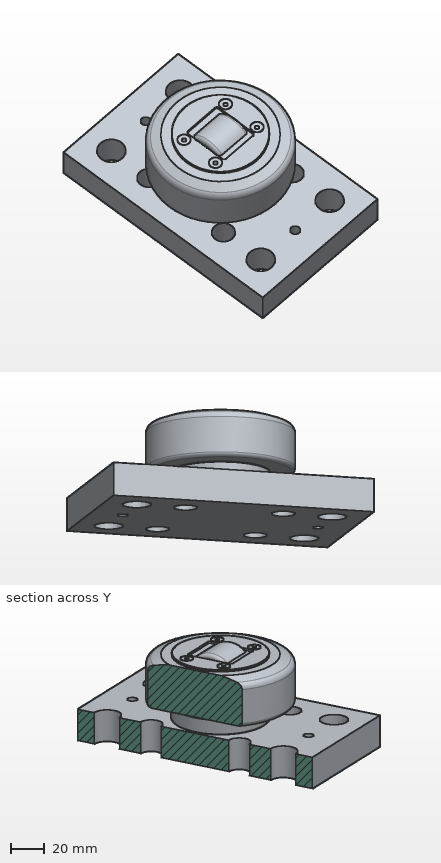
import cadquery as cq

plate_length = 160
plate_width = 100.0
plate_height = 20.0
bolt_spacing_x = 120
inner_spacing_x = 60.0
hole_spacing_y = 60.0
bolt_hole_diameter = 17.0
inner_hole_diameter = 13.8
dowel_hole_diameter = 6.0

neck_diameter = 59.0
neck_chamfer = 0.56
cap_diameter = 58.0
cap_chamfer = 0.3
journal_top = 61.0

roller_radius = 44.2
roller_bottom = 30.0
roller_top = 59.8
roller_flat_radius = 35.2
cone_outer_radius = 41.5
cone_bottom = 57.6
wall_top = 53.8
shoulder_mid_radius = 43.2
shoulder_mid_height = 56.2
bottom_fillet = 2.4

window_length = 30.5
window_width = 26.5
window_depth = 1.3
window_corner_radius = 1.3
side_roller_radius = 16
side_roller_width = 25.8
side_roller_fillet = 2.4
overall_height = 64

screw_spacing_x = 25.3
screw_spacing_y = 36.2
screw_head_diameter = 7.8
screw_recess_depth = 0.3
socket_diameter = 2.5
socket_depth = 0.6


def make_plate():
    plate = cq.Workplane("XY").box(plate_length, plate_width, plate_height, centered=(True, True, False))
    top = plate.faces(">Z").workplane()
    plate = top.rarray(bolt_spacing_x, hole_spacing_y, 2, 2).hole(bolt_hole_diameter)
    top = plate.faces(">Z").workplane()
    plate = top.rarray(inner_spacing_x, hole_spacing_y, 2, 2).hole(inner_hole_diameter)
    top = plate.faces(">Z").workplane()
    return top.rarray(bolt_spacing_x, 1.6, 2, 1).hole(dowel_hole_diameter)


def make_main_roller():
    profile = (
        cq.Workplane("XZ")
        .moveTo(0, roller_bottom)
        .lineTo(roller_radius, roller_bottom)
        .lineTo(roller_radius, wall_top)
        .threePointArc((shoulder_mid_radius, shoulder_mid_height), (cone_outer_radius, cone_bottom))
        .lineTo(roller_flat_radius, roller_top)
        .lineTo(0, roller_top)
        .close()
    )
    roller = profile.revolve(360, (0, 0, 0), (0, 1, 0))
    return roller.faces("<Z").edges().fillet(bottom_fillet)


def make_neck():
    neck = (
        cq.Workplane("XY", origin=(0, 0, plate_height))
        .circle(neck_diameter / 2)
        .extrude(roller_bottom - plate_height)
    )
    return neck.faces("<Z or >Z").edges().chamfer(neck_chamfer)


def make_cap():
    cap = (
        cq.Workplane("XY", origin=(0, 0, roller_bottom))
        .circle(cap_diameter / 2)
        .extrude(journal_top - roller_bottom)
    )
    return cap.faces(">Z").edges().chamfer(cap_chamfer)


def make_window():
    return (
        cq.Workplane("XY", origin=(0, 0, journal_top - window_depth))
        .rect(window_length, window_width)
        .extrude(window_depth)
        .edges("|Z")
        .fillet(window_corner_radius)
    )


def make_side_roller():
    axis_height = overall_height - side_roller_radius
    roller = (
        cq.Workplane("XZ", origin=(0, 0, axis_height))
        .circle(side_roller_radius)
        .extrude(side_roller_width / 2, both=True)
    )
    return roller.faces("<Y or >Y").edges().fillet(side_roller_fillet)


def make_screw_cuts(diameter, depth):
    return (
        cq.Workplane("XY", origin=(0, 0, journal_top - depth))
        .rarray(screw_spacing_x, screw_spacing_y, 2, 2)
        .circle(diameter / 2)
        .extrude(depth)
    )


body = make_plate().union(make_neck()).union(make_main_roller()).union(make_cap())
body = body.cut(make_window()).union(make_side_roller())
body = body.cut(make_screw_cuts(screw_head_diameter, screw_recess_depth))
result = body.cut(make_screw_cuts(socket_diameter, socket_depth))